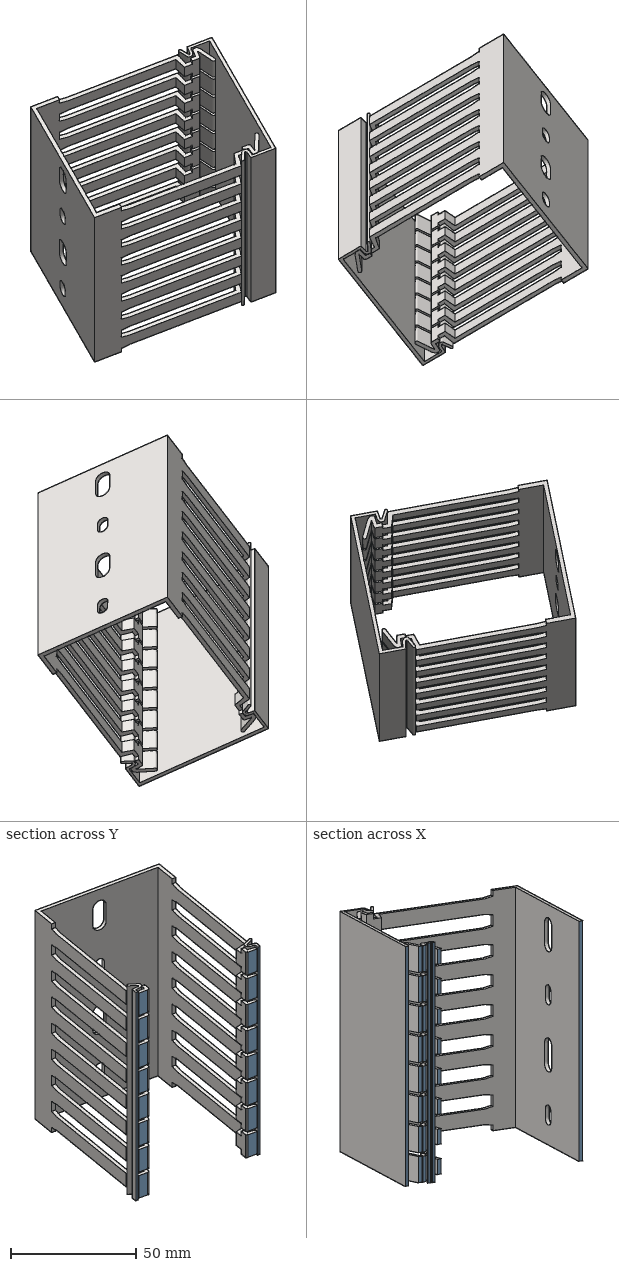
import cadquery as cq

length = 100.0
width = 60.0
depth = 80.0

base_thickness = 1.8
wall_thickness = 1.8
wall_top = 64.9
neck_rise = 1.1
neck_under_y = 63.2
leg_offset = 5.1
leg_thickness = 1.6
leg_top = 71.4
leg_bottom = 64.7
arm_thickness = 1.6
arm_root_y = 71.0
bend_offset = 2.2
bend_bottom_y = 71.4
bend_top_y = 72.2
arm_start_offset = 3.1
arm_start_y = 73.0
arm_tip_offset = 9.7
arm_tip_y = 76.2

finger_count = 8
pitch = length / finger_count
gap_width = 6.0
gap_root_width = 4.7
gap_root_y = 11.9
gap_taper_end_y = 15.7
head_start_y = 68.2
head_gap = 1.5

slot_pitch = 50.0
large_slot = (14.0, 6.4, 37.5)
small_slot = (8.2, 4.7, 12.5)

cover_thickness = 1.6
cover_wall_thickness = 1.2
cover_wall_end = 69.1
lip_thickness = 1.2
lip_root_y = 69.6
lip_bend_offset = 4.3
lip_bend_top_y = 68.6
lip_bend_bottom_y = 67.7
lip_bend_run = 0.9
lip_bend_start_y = 69.3
lip_end_overhang = 0.05
lip_end_y = 65.7


def left_x(offset):
    """X of a point at a given distance inwards from the outside of the left wall."""
    return offset - width / 2


def block(x_min, x_max, y_min, y_max):
    """Full-length block with a rectangular section."""
    section = cq.Workplane("XY").center(x_min, y_min).rect(x_max - x_min, y_max - y_min, centered=False)
    return section.extrude(length)


def strip(points, thickness):
    """Full-length bent strip with rounded ends that follows a middle line."""
    return cq.Workplane("XY").polyline(points).offset2D(thickness / 2).extrude(length)


def with_mirror(body):
    """The left-hand shape together with its right-hand mirror image."""
    return body.union(body.mirror("YZ"))


def channel_side():
    """Left wall with its inward neck, upright leg and springy arm."""
    inner_wall = left_x(wall_thickness)
    leg_outer = left_x(leg_offset)
    leg_inner = left_x(leg_offset + leg_thickness)
    wall = (
        cq.Workplane("XY")
        .polyline(
            [
                (left_x(0), 0),
                (left_x(0), wall_top),
                (leg_outer, wall_top + neck_rise),
                (leg_outer, leg_top),
                (leg_inner, leg_top),
                (leg_inner, leg_bottom),
                (inner_wall, neck_under_y),
                (inner_wall, 0),
            ]
        )
        .close()
        .extrude(length)
    )
    arm = strip(
        [
            (left_x(leg_offset + leg_thickness / 2), arm_root_y),
            (left_x(bend_offset), bend_bottom_y),
            (left_x(bend_offset), bend_top_y),
            (left_x(arm_start_offset), arm_start_y),
            (left_x(arm_tip_offset), arm_tip_y),
        ],
        arm_thickness,
    )
    return wall.union(arm)


def finger_gap(z):
    """Cutter through both walls: tapered root, straight middle, narrow between the heads."""
    half_outline = [
        (gap_root_y, gap_root_width / 2),
        (gap_taper_end_y, gap_width / 2),
        (head_start_y, gap_width / 2),
        (head_start_y, head_gap / 2),
        (depth, head_gap / 2),
    ]
    outline = [(y, z + half) for y, half in half_outline]
    outline += [(y, z - half) for y, half in reversed(half_outline)]
    return cq.Workplane("YZ").polyline(outline).close().extrude(width / 2, both=True)


def mounting_slots(slot):
    """Cutter for one size of upright slot, repeated along the base."""
    slot_length, slot_width, first_z = slot
    return (
        cq.Workplane("XZ")
        .pushPoints([(0, first_z), (0, first_z + slot_pitch)])
        .slot2D(slot_length, slot_width, 90)
        .extrude(-base_thickness)
    )


def make_channel():
    """Base and two walls divided into fingers."""
    channel = block(-width / 2, width / 2, 0, base_thickness).union(with_mirror(channel_side()))
    for i in range(finger_count + 1):
        channel = channel.cut(finger_gap(i * pitch))
    return channel.cut(mounting_slots(large_slot)).cut(mounting_slots(small_slot))


def make_cover():
    """Flat cover whose short walls end in V-shaped snap lips."""
    plate = block(-width / 2, width / 2, depth - cover_thickness, depth)
    wall = block(left_x(0), left_x(cover_wall_thickness), cover_wall_end, depth)
    lip = strip(
        [
            (left_x(cover_wall_thickness / 2), lip_root_y),
            (left_x(lip_bend_offset - lip_bend_run), lip_bend_start_y),
            (left_x(lip_bend_offset), lip_bend_top_y),
            (left_x(lip_bend_offset), lip_bend_bottom_y),
            (left_x(lip_thickness / 2 - lip_end_overhang), lip_end_y),
        ],
        lip_thickness,
    )
    return plate.union(with_mirror(wall.union(lip)))


channel = make_channel()
cover = make_cover()

result = cq.Compound.makeCompound([channel.val(), cover.val()])